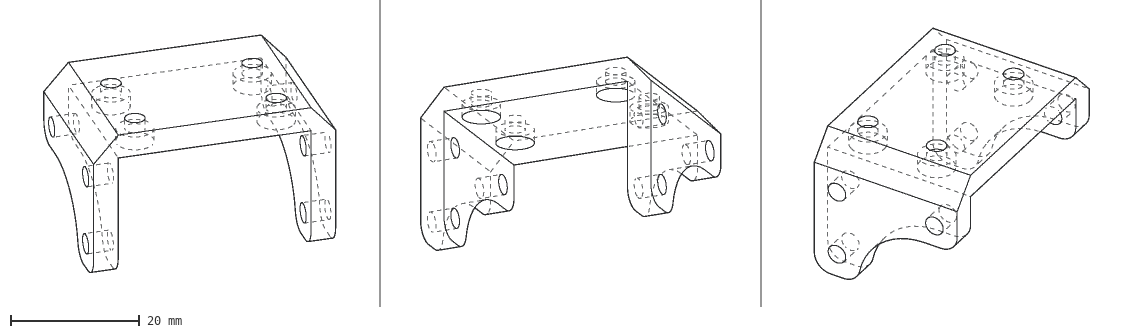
import cadquery as cq
import math

length = 26.0
width = 39.4
height = 24.5

thickness = 4.0
bevel_drop = 4.5

ledge_depth = 12.5
foot_width = 8.0
corner_radius = 3.0

hole_diameter = 3.2
counterbore_diameter = 6.0
neck_length = 1.77
wall_hole_inset = 4.15
wall_hole_rise = 11.7
plate_hole_end_inset = 4.75
plate_hole_spacing_x = 12.5
plate_hole_spacing_y = 22.97

right = length / 2
left = -right
top = height / 2
bottom = -top
ledge = top - ledge_depth


def channel():
    """Downward-open channel with bevelled outer top edges."""
    half = width / 2
    inner = half - thickness
    return (
        cq.Workplane("YZ")
        .polyline([
            (-half, bottom),
            (-half, top - bevel_drop),
            (-inner, top),
            (inner, top),
            (half, top - bevel_drop),
            (half, bottom),
            (inner, bottom),
            (inner, top - thickness),
            (-inner, top - thickness),
            (-inner, bottom),
        ])
        .close()
        .extrude(length / 2, both=True)
    )


def wall_profile():
    """Side outline run across the full width: ledge, round scoop and foot with rounded corners."""
    scoop_radius = ledge - bottom
    scoop_x = right - foot_width - scoop_radius

    centre_distance = scoop_radius + corner_radius
    tangent_angle = math.asin(corner_radius / centre_distance)
    foot_x = scoop_x + centre_distance * math.cos(tangent_angle)
    foot_z = bottom + corner_radius
    foot_mid_angle = (math.pi + tangent_angle + 1.5 * math.pi) / 2

    def on_scoop(angle):
        return (scoop_x + scoop_radius * math.cos(angle), bottom + scoop_radius * math.sin(angle))

    foot_mid = (
        foot_x + corner_radius * math.cos(foot_mid_angle),
        foot_z + corner_radius * math.sin(foot_mid_angle),
    )
    outline = (
        cq.Workplane("XZ")
        .moveTo(left, top)
        .lineTo(left, ledge + corner_radius)
        .radiusArc((left + corner_radius, ledge), -corner_radius)
        .lineTo(scoop_x, ledge)
        .threePointArc(on_scoop((math.pi / 2 + tangent_angle) / 2), on_scoop(tangent_angle))
        .threePointArc(foot_mid, (foot_x, bottom))
        .lineTo(right - corner_radius, bottom)
        .radiusArc((right, bottom + corner_radius), -corner_radius)
        .lineTo(right, top)
        .close()
    )
    return outline.extrude(width / 2, both=True)


def wall_holes():
    """Three cross holes passing straight through both side walls."""
    hole_x = right - wall_hole_inset
    lower_z = bottom + wall_hole_inset
    upper_z = lower_z + wall_hole_rise
    return (
        cq.Workplane("XZ")
        .pushPoints([(-hole_x, upper_z), (hole_x, upper_z), (hole_x, lower_z)])
        .circle(hole_diameter / 2)
        .extrude(width / 2, both=True)
    )


def plate_bores(diameter, start_depth):
    """Four round cutters from a depth below the top face to the underside of the plate."""
    pattern_centre_x = right - plate_hole_end_inset - plate_hole_spacing_x / 2
    return (
        cq.Workplane("XY", origin=(pattern_centre_x, 0, top - start_depth))
        .rect(plate_hole_spacing_x, plate_hole_spacing_y, forConstruction=True)
        .vertices()
        .circle(diameter / 2)
        .extrude(start_depth - thickness)
    )


result = (
    channel()
    .intersect(wall_profile())
    .cut(wall_holes())
    .cut(plate_bores(hole_diameter, 0))
    .cut(plate_bores(counterbore_diameter, neck_length))
)